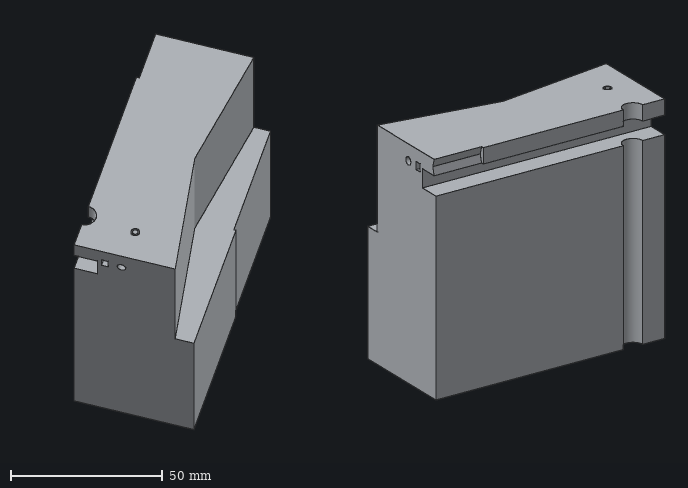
import cadquery as cq

width = 41.4
length = 90.9
height = 86.5

shelf_z = 47.9
upper_width = 34.9
recess_depth = 6.8
rear_relief_depth = 0.7
rear_relief_start = 48.5

plate_thickness = 5.9
slot_height = 7.0
slot_depth = 8.1
slot_top = height - plate_thickness

channel_radius = 3.8
channel_y = 12.6

grip_length = 18.8
grip_inset = 1.0
grip_depth = 0.8
grip_upper_height = 2.9
grip_step_drop = 0.7
grip_step_inset = 0.2

bore_diameter = 2.9
bore_x = 16.4
bore_z = height - 6.2
passage_left = 9.5
passage_width = 2.3

pocket_diameter = 2.9
pin_diameter = 1.8
pocket_depth = 2.9
pin_x = 17.9
pin_y = 10.8


def lengthwise_prism(points, start=0, end=length):
    """Extrude an XZ outline along Y from start to end."""
    return cq.Workplane("XZ", origin=(0, start, 0)).polyline(points).close().extrude(start - end)


def stepped_block():
    return lengthwise_prism([
        (0, 0), (width, 0), (width, shelf_z),
        (upper_width, shelf_z), (upper_width, height), (0, height),
    ])


def v_recess():
    recess = cq.Workplane("XY", origin=(0, 0, shelf_z)).polyline([
        (upper_width, 0), (upper_width, length), (upper_width - recess_depth, length / 2),
    ])
    return recess.close().extrude(height - shelf_z)


def rear_relief():
    relief = cq.Workplane().box(rear_relief_depth, length - rear_relief_start, shelf_z, centered=False)
    return relief.translate((width - rear_relief_depth, rear_relief_start, 0))


def side_slot():
    slot = cq.Workplane().box(slot_depth, length, slot_height, centered=False)
    return slot.translate((0, 0, slot_top - slot_height))


def channel():
    return cq.Workplane().center(0, channel_y).circle(channel_radius).extrude(height)


def grip_groove():
    groove_x = grip_inset + grip_depth
    groove_z = height - grip_upper_height
    return lengthwise_prism([
        (0, height), (grip_inset, height), (groove_x, groove_z),
        (groove_x - grip_step_inset, groove_z - grip_step_drop),
        (grip_inset, slot_top), (0, slot_top),
    ], length - grip_length, length)


def round_bore():
    bore = cq.Workplane("XZ").center(bore_x, bore_z).circle(bore_diameter / 2)
    return bore.extrude(-length)


def rectangular_passage():
    passage = cq.Workplane().box(passage_width, length, bore_diameter, centered=False)
    return passage.translate((passage_left, 0, bore_z - bore_diameter / 2))


def pin_pocket():
    ring = cq.Workplane("XY", origin=(pin_x, pin_y, height))
    return ring.circle(pocket_diameter / 2).circle(pin_diameter / 2).extrude(-pocket_depth)


result = stepped_block()
for cutter in (v_recess(), rear_relief(), side_slot(), channel(), grip_groove(),
               round_bore(), rectangular_passage(), pin_pocket()):
    result = result.cut(cutter)